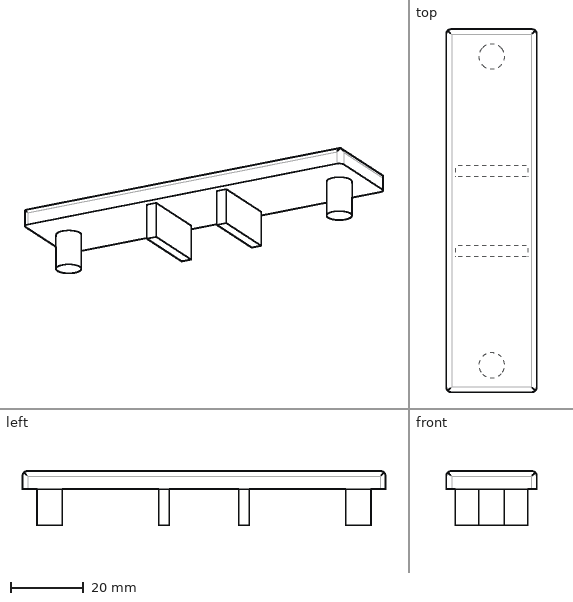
import cadquery as cq

plate_width = 25.0
plate_length = 100.0
plate_thickness = 5.0
edge_radius = 1.5

support_height = 10.0

peg_diameter = 7.0
peg_end_gap = 4.0
peg_offset = plate_length / 2 - peg_end_gap - peg_diameter / 2

rib_width = 20.0
rib_thickness = 3.0
rib_outer_span = 25.0
rib_offset = (rib_outer_span - rib_thickness) / 2


def plate_block():
    """Sharp-edged block of the plate size."""
    return cq.Workplane("XY").box(
        plate_width, plate_length, plate_thickness, centered=(True, True, False)
    )


def cover_plate():
    """Plate whose upright corners and top rim are rounded.

    Each edge direction is rounded on its own block; their common volume
    leaves mitred corners where the roundings meet.
    """
    round_corners = plate_block().edges("|Z").fillet(edge_radius)
    round_long_sides = plate_block().edges(">Z and |Y").fillet(edge_radius)
    round_ends = plate_block().edges(">Z and |X").fillet(edge_radius)
    return round_corners.intersect(round_long_sides).intersect(round_ends)


def mirrored_points(offset):
    """Two points on the long centreline, one on each side of the middle."""
    return [(0, -offset), (0, offset)]


def pegs():
    """Round pegs near both ends of the underside."""
    underside = cq.Workplane("XY").pushPoints(mirrored_points(peg_offset))
    return underside.circle(peg_diameter / 2).extrude(-support_height)


def ribs():
    """Upright cross ribs on both sides of the middle."""
    underside = cq.Workplane("XY").pushPoints(mirrored_points(rib_offset))
    return underside.rect(rib_width, rib_thickness).extrude(-support_height)


result = cover_plate().union(pegs()).union(ribs())